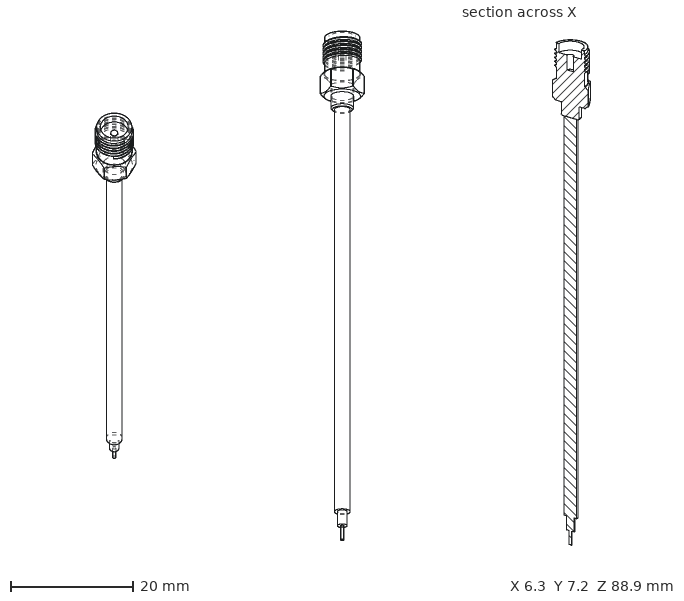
import cadquery as cq
import math

TOTAL_LENGTH = 88.9

JACKET_DIAMETER = 2.6
DIELECTRIC_DIAMETER = 1.6
CONDUCTOR_DIAMETER = 0.5
CONDUCTOR_STRIP = 2.5
DIELECTRIC_STRIP = 2.5

BARREL_DIAMETER = 5.8
BARREL_LENGTH = 6.4
HEX_SIDES = 6
HEX_ACROSS_FLATS = 6.3
HEX_CHAMFERED_CORNERS = 7.2
HEX_HEIGHT = 3.9
HEX_END_CIRCLE = 6.0
HEX_CHAMFER_HEIGHT = 0.45
FERRULE_DIAMETER = 3.7
FERRULE_LENGTH = 2.4
FERRULE_CHAMFER = 0.3

THREAD_DIAMETER = 6.3
THREAD_PITCH = 0.7
THREAD_CREST_WIDTH = 0.1
THREAD_ROOT_WIDTH = 0.6
THREAD_OVERLAP = 0.1
THREAD_TURNS = 5.1
THREAD_BOTTOM_DEPTH = 4.45
THREAD_START_ANGLE = -65

BORE_DIAMETER = 4.5
BORE_DEPTH = 1.6
SOCKET_DIAMETER = 1.2
SOCKET_DEPTH = 2.7

hex_top = TOTAL_LENGTH - BARREL_LENGTH
hex_bottom = hex_top - HEX_HEIGHT
ferrule_bottom = hex_bottom - FERRULE_LENGTH
thread_bottom = TOTAL_LENGTH - THREAD_BOTTOM_DEPTH
bore_floor = TOTAL_LENGTH - BORE_DEPTH


def cylinder(diameter, bottom, top):
    return cq.Workplane("XY").workplane(offset=bottom).circle(diameter / 2).extrude(top - bottom)


def make_hex_nut():
    """Hexagon with corners on the Y axis, its corners turned down at both ends."""
    across_corners = HEX_ACROSS_FLATS / math.cos(math.pi / HEX_SIDES)
    prism = (
        cq.Workplane("XY")
        .workplane(offset=hex_bottom)
        .polygon(HEX_SIDES, across_corners)
        .extrude(HEX_HEIGHT)
        .rotate((0, 0, 0), (0, 0, 1), 90)
    )
    corner_inset = (HEX_CHAMFERED_CORNERS - HEX_END_CIRCLE) / 2
    turned_blank = (
        cylinder(HEX_CHAMFERED_CORNERS, hex_bottom, hex_top)
        .faces("<Z or >Z")
        .chamfer(HEX_CHAMFER_HEIGHT, corner_inset)
    )
    return prism.intersect(turned_blank)


def make_thread():
    """Helical ridge with sloping flanks and a flat crest, sunk slightly into the barrel."""
    root = BARREL_DIAMETER / 2 - THREAD_OVERLAP
    crest = THREAD_DIAMETER / 2
    half_root = THREAD_ROOT_WIDTH / 2
    half_crest = THREAD_CREST_WIDTH / 2
    helix = cq.Wire.makeHelix(THREAD_PITCH, THREAD_TURNS * THREAD_PITCH, root)
    ridge = (
        cq.Workplane("XZ")
        .moveTo(root, -half_root)
        .lineTo(crest, -half_crest)
        .lineTo(crest, half_crest)
        .lineTo(root, half_root)
        .close()
        .sweep(helix, isFrenet=True)
    )
    return ridge.rotate((0, 0, 0), (0, 0, 1), THREAD_START_ANGLE).translate((0, 0, thread_bottom))


def make_connector():
    """Threaded barrel, hexagon and ferrule, with a bore and a blind contact socket at the top."""
    ferrule = cylinder(FERRULE_DIAMETER, ferrule_bottom, hex_bottom).faces("<Z").chamfer(FERRULE_CHAMFER)
    barrel = cylinder(BARREL_DIAMETER, hex_top, TOTAL_LENGTH)
    bore = cylinder(BORE_DIAMETER, bore_floor, TOTAL_LENGTH)
    socket = cylinder(SOCKET_DIAMETER, bore_floor - SOCKET_DEPTH, bore_floor)
    outside = barrel.union(make_hex_nut()).union(ferrule).union(make_thread())
    return outside.cut(bore).cut(socket)


def make_cable():
    """Stripped cable that butts against the lower end of the connector ferrule."""
    dielectric_end = CONDUCTOR_STRIP
    jacket_end = dielectric_end + DIELECTRIC_STRIP
    conductor = cylinder(CONDUCTOR_DIAMETER, 0, dielectric_end)
    dielectric = cylinder(DIELECTRIC_DIAMETER, dielectric_end, jacket_end)
    jacket = cylinder(JACKET_DIAMETER, jacket_end, ferrule_bottom)
    return conductor.union(dielectric).union(jacket)


connector = make_connector()
cable = make_cable()

result = cq.Compound.makeCompound([connector.val(), cable.val()])